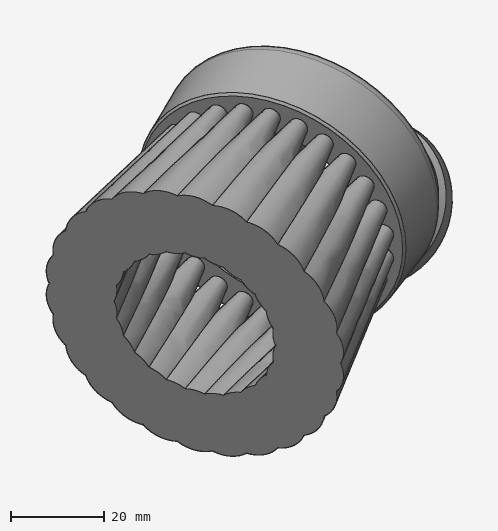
import cadquery as cq
import math

overall_length = 107.0

bristle_count = 26
bristle_ring_radius = 26.7
bristle_root_diameter = 4.3
bristle_tip_diameter = 16.6
bristle_length = 41.1

head_thickness = 19.0
head_front_radius = 31.3
head_back_radius = 32.2
head_back_fillet = 3.2
head_front_chamfer = 0.5
pocket_radius = 22.5

pipe_angle = 45.0
pipe_length = 51.3
pipe_radius = 17.3
bore_radius = 15.5
collar_radius = 18.6
collar_straight_length = 4.7
collar_slope_length = collar_radius - pipe_radius

head_front_y = bristle_length
head_back_y = head_front_y + head_thickness

pipe_reach_y = (
    pipe_length * math.cos(math.radians(pipe_angle))
    + collar_radius * math.sin(math.radians(pipe_angle))
)
floor_y = overall_length - pipe_reach_y

slant_overlap = collar_radius * math.tan(math.radians(pipe_angle))


def revolve_about_y(profile):
    """Turn a (radius, Y) profile once around the Y axis."""
    return profile.close().revolve(360, (0, 0, 0), (0, 1, 0))


def make_head():
    """Tapered disc with a rounded back rim and a chamfered front rim."""
    disc = revolve_about_y(
        cq.Workplane("XY")
        .moveTo(0, head_front_y)
        .lineTo(head_front_radius, head_front_y)
        .lineTo(head_back_radius, head_back_y)
        .lineTo(0, head_back_y)
    )
    disc = disc.faces(">Y").edges().fillet(head_back_fillet)
    return disc.faces("<Y").edges().chamfer(head_front_chamfer)


def make_pocket():
    """Round recess from the front of the head down to its floor."""
    return revolve_about_y(
        cq.Workplane("XY")
        .moveTo(0, head_front_y)
        .lineTo(pocket_radius, head_front_y)
        .lineTo(pocket_radius, floor_y)
        .lineTo(0, floor_y)
    )


def slant_from_floor(body):
    """Tilt a body built along Y onto the pipe axis and trim it flat at the pocket floor."""
    slanted = body.rotate((0, 0, 0), (1, 0, 0), -pipe_angle).translate((0, floor_y, 0))
    trim_size = 4 * collar_radius
    trim = cq.Workplane("XY").box(trim_size, trim_size, trim_size)
    return slanted.cut(trim.translate((0, floor_y - trim_size / 2, 0)))


def make_pipe():
    """Solid pipe with the collar at its open end."""
    collar_start = pipe_length - collar_straight_length
    pipe = revolve_about_y(
        cq.Workplane("XY")
        .moveTo(0, -slant_overlap)
        .lineTo(pipe_radius, -slant_overlap)
        .lineTo(pipe_radius, collar_start - collar_slope_length)
        .lineTo(collar_radius, collar_start)
        .lineTo(collar_radius, pipe_length)
        .lineTo(0, pipe_length)
    )
    return slant_from_floor(pipe)


def make_bore():
    """Passage from the pocket floor out through the end of the pipe."""
    bore = revolve_about_y(
        cq.Workplane("XY")
        .moveTo(0, -slant_overlap)
        .lineTo(bore_radius, -slant_overlap)
        .lineTo(bore_radius, pipe_length)
        .lineTo(0, pipe_length)
    )
    return slant_from_floor(bore)


def make_bristle(angle):
    """One conical bristle, placed by its angle around Y from the top of the ring."""
    centre_x = bristle_ring_radius * math.sin(angle)
    centre_z = bristle_ring_radius * math.cos(angle)
    return cq.Solid.makeCone(
        bristle_tip_diameter / 2,
        bristle_root_diameter / 2,
        bristle_length,
        pnt=cq.Vector(centre_x, 0, centre_z),
        dir=cq.Vector(0, 1, 0),
    )


result = make_head().union(make_pipe()).cut(make_pocket()).cut(make_bore())
for index in range(bristle_count):
    result = result.union(cq.Workplane(make_bristle(2 * math.pi * index / bristle_count)))